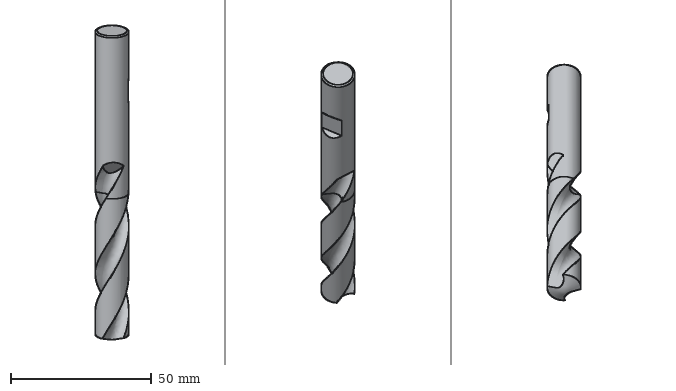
import cadquery as cq
import math

length = 118.0
diameter = 12.0
radius = diameter / 2
point_angle = 140.0
point_height = radius / math.tan(math.radians(point_angle / 2))
head_length = 56.0
end_chamfer_width = 0.7
end_chamfer_height = 0.5

flat_depth = 1.5
flat_length = 8.0
flat_centre_z = length - 22.5

flute_count = 2
helix_angle = 30.0
helix_pitch = math.pi * diameter / math.tan(math.radians(helix_angle))
flute_top = 70.0
runout_slope = 1.4
runout_lag = 12.0
mouth_lip_angle = 30.0
mouth_heel_angle = -41.7
flute_centre_height = 7.0
heel_radius = 3.4
heel_angle = -25.5
web_radius = 2.1
web_angle = 16.0
overcut = 1.2


def polar(distance, angle):
    """Point at a distance from the axis and an angle in degrees."""
    turn = math.radians(angle)
    return (distance * math.cos(turn), distance * math.sin(turn))


def make_blank():
    """Round bar with a conical point and a chamfered upper end."""
    return (
        cq.Workplane("XZ")
        .moveTo(0, 0)
        .lineTo(radius, point_height)
        .lineTo(radius, length - end_chamfer_height)
        .lineTo(radius - end_chamfer_width, length)
        .lineTo(0, length)
        .close()
        .revolve(360, (0, 0, 0), (0, 1, 0))
    )


def make_flat_cutter():
    """Trapezoid through the shank along X that leaves the clamping flat."""
    floor_y = radius - flat_depth
    outer_y = radius + overcut
    half_floor = flat_length / 2
    half_mouth = half_floor + outer_y - floor_y
    return (
        cq.Workplane("YZ")
        .moveTo(floor_y, flat_centre_z - half_floor)
        .lineTo(outer_y, flat_centre_z - half_mouth)
        .lineTo(outer_y, flat_centre_z + half_mouth)
        .lineTo(floor_y, flat_centre_z + half_floor)
        .close()
        .extrude(radius, both=True)
    )


def make_flute_cutter(opening_angle):
    """Twisted flute with a sloping upper end; it opens toward opening_angle at Z = 0."""
    twist = 360 * flute_top / helix_pitch
    clear_radius = radius + overcut
    twisted = (
        cq.Workplane("XY")
        .moveTo(*polar(heel_radius, heel_angle))
        .threePointArc(polar(web_radius, web_angle), polar(clear_radius, mouth_lip_angle))
        .threePointArc((clear_radius, 0), polar(clear_radius, mouth_heel_angle))
        .close()
        .twistExtrude(flute_top, twist)
        .rotate((0, 0, 0), (0, 0, 1), opening_angle)
    )

    runout_bottom = flute_top - radius * runout_slope
    runout_reach = clear_radius + overcut
    runout_outer_z = runout_bottom + runout_reach * runout_slope
    above_runout = (
        cq.Workplane("XZ")
        .moveTo(-runout_reach, runout_bottom)
        .lineTo(0, runout_bottom)
        .lineTo(runout_reach, runout_outer_z)
        .lineTo(-runout_reach, runout_outer_z)
        .close()
        .extrude(runout_reach, both=True)
        .rotate((0, 0, 0), (0, 0, 1), opening_angle + twist - runout_lag)
    )
    return twisted.cut(above_runout)


def make_head_envelope():
    """Cylinder that holds everything below the joint between head and shank."""
    return cq.Workplane("XY").circle(radius + overcut).extrude(head_length)


drill = make_blank().cut(make_flat_cutter())
first_opening = 180 - 360 * flute_centre_height / helix_pitch
for index in range(flute_count):
    drill = drill.cut(make_flute_cutter(first_opening + index * 360 / flute_count))

cutting_head = drill.intersect(make_head_envelope())
shank = drill.cut(make_head_envelope())

result = cq.Compound.makeCompound([cutting_head.val(), shank.val()])